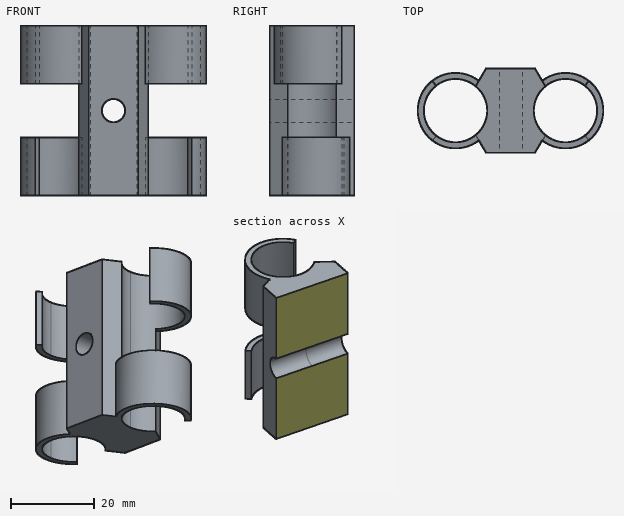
import cadquery as cq
import math

length = 44.7
depth = 20.35
height = 40.9

clip_radius = 9.1
bore_radius = 7.6
clip_height = 14.0
lip_angle = 52.0
clip_offset = length / 2 - clip_radius

face_width = 11.8
flank_angle = 60.0
screw_hole_diameter = 5.55


def make_block():
    """Hexagonal column whose side corners are later removed by the bores."""
    half_face = face_width / 2
    half_depth = depth / 2
    corner_x = half_face + half_depth / math.tan(math.radians(flank_angle))
    outline = [
        (half_face, half_depth),
        (corner_x, 0),
        (half_face, -half_depth),
        (-half_face, -half_depth),
        (-corner_x, 0),
        (-half_face, half_depth),
    ]
    return cq.Workplane("XY").polyline(outline).close().extrude(height)


def make_clip(side, opening, base_z):
    """Solid sector from inside the block to the free lip; the bore later hollows it into a ring.

    side is the X side of the block and opening is the Y side left open (+1 or -1).
    """
    def rim_point(angle):
        radians = math.radians(angle)
        x = side * (clip_offset + clip_radius * math.cos(radians))
        return x, opening * clip_radius * math.sin(radians)

    root_angle = -180.0
    middle_angle = (root_angle + lip_angle) / 2
    return (
        cq.Workplane("XY", origin=(0, 0, base_z))
        .moveTo(side * clip_offset, 0)
        .lineTo(*rim_point(root_angle))
        .threePointArc(rim_point(middle_angle), rim_point(lip_angle))
        .close()
        .extrude(clip_height)
    )


result = make_block()
for side in (-1, 1):
    result = result.union(make_clip(side, -1, 0))
    result = result.union(make_clip(side, 1, height - clip_height))

bores = (
    cq.Workplane("XY")
    .pushPoints([(-clip_offset, 0), (clip_offset, 0)])
    .circle(bore_radius)
    .extrude(height)
)
result = result.cut(bores)

screw_hole = (
    cq.Workplane("XZ", origin=(0, 0, height / 2))
    .circle(screw_hole_diameter / 2)
    .extrude(depth / 2, both=True)
)
result = result.cut(screw_hole)